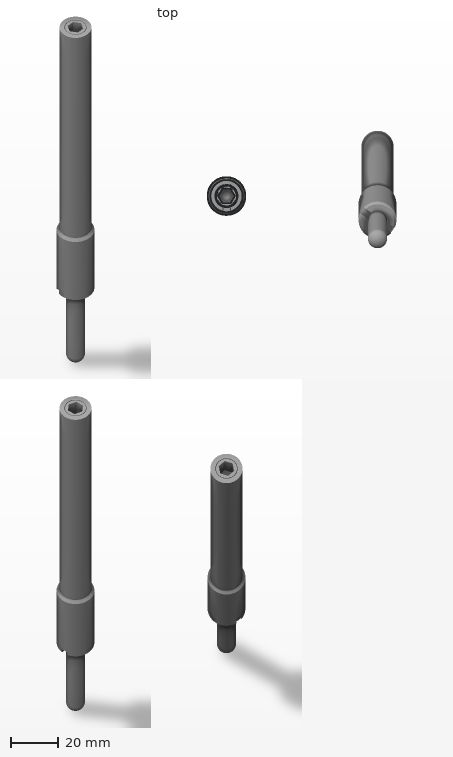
import cadquery as cq
import math

total_length = 188.0

tube_diameter = 13.5
collar_diameter = 16.0
collar_bottom = 40.0
collar_length = 35.0
collar_top_chamfer = (collar_diameter - tube_diameter) / 2
collar_bottom_chamfer = 1.0
slot_width = 3.0
slot_depth = 2.8

tip_diameter = 8.0
bore_diameter = 9.4
head_diameter = 8.8
head_length = 18.8
socket_across_flats = 6.0
socket_depth = 9.4
drill_point_angle = 120.0

collar_top = collar_bottom + collar_length
tip_radius = tip_diameter / 2
head_top = total_length
head_bottom = head_top - head_length
socket_bottom = head_top - socket_depth
socket_across_corners = socket_across_flats / math.cos(math.pi / 6)


def cylinder(diameter, bottom, top):
    """Upright cylinder on the Z axis between two heights."""
    return cq.Workplane("XY").workplane(offset=bottom).circle(diameter / 2).extrude(top - bottom)


def make_sleeve():
    """Tube and collar with a stepped bore and a slot across the lower end."""
    collar = cylinder(collar_diameter, collar_bottom, collar_top)
    collar = collar.faces(">Z").chamfer(collar_top_chamfer)
    collar = collar.faces("<Z").chamfer(collar_bottom_chamfer)
    sleeve = collar.union(cylinder(tube_diameter, collar_bottom + slot_depth, total_length))

    sleeve = sleeve.cut(cylinder(tip_diameter, collar_bottom, head_bottom))
    sleeve = sleeve.cut(cylinder(bore_diameter, head_bottom, total_length))

    slot = (
        cq.Workplane("XY")
        .workplane(offset=collar_bottom)
        .rect(slot_width, collar_diameter)
        .extrude(slot_depth)
    )
    return sleeve.cut(slot)


def make_socket():
    """Hexagonal cavity that ends in a conical drill point."""
    hexagon = (
        cq.Workplane("XY")
        .workplane(offset=socket_bottom)
        .polygon(6, socket_across_corners)
        .extrude(socket_depth)
    )
    point_radius = socket_across_corners / 2
    point_depth = point_radius / math.tan(math.radians(drill_point_angle / 2))
    point = (
        cq.Workplane("XZ")
        .moveTo(0, socket_bottom - point_depth)
        .lineTo(point_radius, socket_bottom)
        .lineTo(0, socket_bottom)
        .close()
        .revolve(360, (0, 0), (0, 1))
    )
    hexagon_below = hexagon.translate((0, 0, -socket_depth))
    return hexagon.union(point.intersect(hexagon_below))


def make_spindle():
    """Stepped rod with a hemispherical tip and a socket in its head."""
    rod = cylinder(tip_diameter, tip_radius, head_bottom)
    tip = cq.Workplane("XY").sphere(tip_radius).translate((0, 0, tip_radius))
    head = cylinder(head_diameter, head_bottom, head_top)
    return rod.union(tip).union(head).cut(make_socket())


sleeve = make_sleeve()
spindle = make_spindle()

result = cq.Compound.makeCompound([sleeve.val(), spindle.val()])